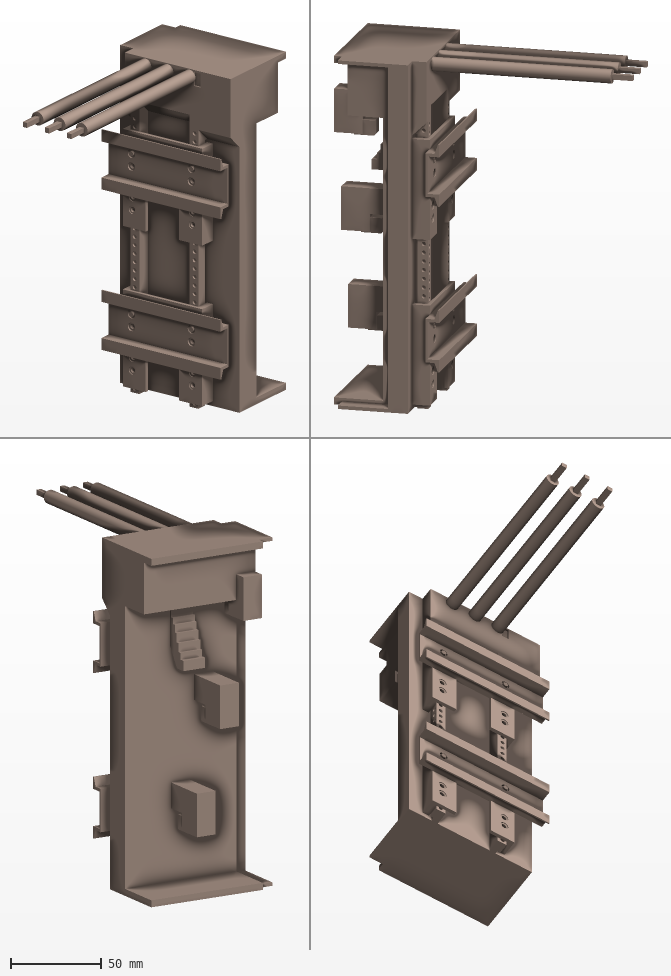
import cadquery as cq


WIDTH = 81.0
HEIGHT = 200.0
BACK_Y = 53.0

SIDE_WIDTH = 9.0
PLATE_FRONT_Y = 8.2
PLATE_BACK_Y = 24.8
FLANGE_THICKNESS = 4.0
TOP_BLOCK_BACK_Y = 45.1
TOP_BLOCK_BOTTOM_Z = 166.3

COLUMNS_CENTER_X = 36.0
COLUMN_INNER_OFFSET = 17.1
COLUMN_OUTER_OFFSET = 23.0
OUTER_POCKET_TOP_Z = 165.1
CENTER_POCKET_TOP_Z = 172.9
POCKET_SLOPE_DROP = 7.8
UNDERCUT_DEPTH = 2.0
UNDERCUT_WIDTH = 2.0

HOLE_PITCH = 5.0
HOLE_OFFSET_X = 20.4
FRONT_HOLE_DIAMETER = 2.5
FRONT_HOLE_COUNT = 33
FRONT_HOLE_FIRST_Z = 2.5
SIDE_HOLE_DIAMETER = 2.4
SIDE_HOLE_COUNT = 32
SIDE_HOLE_FIRST_Z = 4.5
SIDE_HOLE_Y = 2.5
FRONT_HOLE_DEPTH = 1.2
SIDE_HOLE_DEPTH = 2.5

RECESS_LEFT_X = 56.0
RECESS_WIDTH = 4.4
RECESS_BOTTOM_Z = 190.6
RECESS_HEIGHT = 8.1
RECESS_DEPTH = 1.0

HOOK_COUNT = 3
HOOK_PITCH_Z = 60.0
HOOK_PITCH_X = 15.0
HOOK_FIRST_X = 9.5
HOOK_WIDTH = 12.0
HOOK_TOP_Z = 181.1
HOOK_THROAT_Z = 166.3
HOOK_TIP_Z = 156.1
HOOK_TIP_FRONT_Y = 37.0
CLAW_INSET = 1.5
CLAW_FRONT_Y = 30.0
CLAW_BACK_Y = 42.0
CLAW_TOP_Z = 163.9
CLAW_BOTTOM_Z = 155.2
CLAW_CHAMFER = 0.5

LATCH_LEFT_X = 38.0
LATCH_WIDTH = 14.0
LATCH_TOP_Z = 162.8
LATCH_BOTTOM_Z = 128.3
LATCH_HEEL_Z = 139.6
LATCH_TOE_Y = 32.3
LATCH_STEPS = [
    (25.9, 156.2),
    (28.1, 152.8),
    (30.0, 148.4),
    (32.0, 143.2),
    (34.0, 138.1),
    (36.0, 134.2),
    (39.2, LATCH_BOTTOM_Z),
]

SIDE_WEB_BACK_Y = 19.5
SIDE_FLANGE_BACK_Y = 48.3
SIDE_FLANGE_THICKNESS = 2.0

LEVEL_COUNT = 2
LEVEL_PITCH = 95.0
RAIL_CENTER_Z = 42.75
RAIL_HEIGHT = 35.4
RAIL_INNER_HEIGHT = 21.4
RAIL_THICKNESS = 1.0
FLANGE_WALL = 1.8
RAIL_FRONT_Y = -9.8
LIP_EDGE_Y = -9.0
LIP_ROOT_Y = -7.1
CARRIER_FRONT_Y = -2.0
CARRIER_HEIGHT = 57.4
CARRIER_INNER_OFFSET = 11.4
CARRIER_OUTER_OFFSET = 27.0
BRIDGE_HEIGHT = RAIL_HEIGHT - (RAIL_HEIGHT - RAIL_INNER_HEIGHT) / 2
SCREW_SPACING = 7.5
SCREW_PIN_Z = 4.7
RAIL_HOLE_Z = SCREW_PIN_Z - SCREW_SPACING
LEG_HOLE_Z = -21.3
LEG_HOLES_Z = (LEG_HOLE_Z, LEG_HOLE_Z - SCREW_SPACING)
BORE_DIAMETER = 5.0
SCREW_DIAMETER = 3.0
BORE_DEPTH = 0.5
PIN_FRONT_Y = -3.4

CABLE_FIRST_X = 23.0
CABLE_PITCH = 15.0
CABLE_COUNT = 3
CABLE_Z = 195.5
CABLE_DIAMETER = 8.0
CABLE_LENGTH = 103.0
CONDUCTOR_SIZE = 3.0
CONDUCTOR_LENGTH = 12.0


def box(x0, x1, y0, y1, z0, z1):
    return cq.Workplane("XY").box(x1 - x0, y1 - y0, z1 - z0, centered=False).translate((x0, y0, z0))


def side_profile(points, x0, x1):
    """Prism with a (Y, Z) outline from x0 to x1."""
    return cq.Workplane("YZ").polyline(points).close().extrude(x1 - x0).translate((x0, 0, 0))


def y_cylinders(points, diameter, y0, y1):
    """Cylinders along Y from y0 to y1 at the given (X, Z) points."""
    circles = cq.Workplane("XZ", origin=(0, y0, 0)).pushPoints(points).circle(diameter / 2)
    return circles.extrude(y0 - y1)


HOLE_XS = (COLUMNS_CENTER_X - HOLE_OFFSET_X, COLUMNS_CENTER_X + HOLE_OFFSET_X)
COLUMN_LEFT_X = COLUMNS_CENTER_X - COLUMN_OUTER_OFFSET
COLUMN_RIGHT_X = COLUMNS_CENTER_X + COLUMN_OUTER_OFFSET


def housing_body():
    outline = [
        (0, 0),
        (BACK_Y, 0),
        (BACK_Y, FLANGE_THICKNESS),
        (PLATE_BACK_Y, FLANGE_THICKNESS),
        (PLATE_BACK_Y, TOP_BLOCK_BOTTOM_Z),
        (TOP_BLOCK_BACK_Y, TOP_BLOCK_BOTTOM_Z),
        (TOP_BLOCK_BACK_Y, HEIGHT - FLANGE_THICKNESS),
        (BACK_Y, HEIGHT - FLANGE_THICKNESS),
        (BACK_Y, HEIGHT),
        (0, HEIGHT),
    ]
    return side_profile(outline, SIDE_WIDTH, WIDTH)


def front_pocket(x0, x1, top_z):
    """Pocket down to the plate, closed at the top by a slope."""
    floor_top_z = top_z - POCKET_SLOPE_DROP
    return side_profile([(0, 0), (PLATE_FRONT_Y, 0), (PLATE_FRONT_Y, floor_top_z), (0, top_z)], x0, x1)


def column_undercut(x0):
    top_z = OUTER_POCKET_TOP_Z - POCKET_SLOPE_DROP
    return box(x0, x0 + UNDERCUT_WIDTH, PLATE_FRONT_Y - UNDERCUT_DEPTH, PLATE_FRONT_Y, 0, top_z)


def column_holes():
    front_points = [
        (x, FRONT_HOLE_FIRST_Z + i * HOLE_PITCH) for x in HOLE_XS for i in range(FRONT_HOLE_COUNT)
    ]
    side_points = [(SIDE_HOLE_Y, SIDE_HOLE_FIRST_Z + i * HOLE_PITCH) for i in range(SIDE_HOLE_COUNT)]
    side_holes = (
        cq.Workplane("YZ", origin=(COLUMN_LEFT_X, 0, 0))
        .pushPoints(side_points)
        .circle(SIDE_HOLE_DIAMETER / 2)
        .extrude(SIDE_HOLE_DEPTH)
    )
    return y_cylinders(front_points, FRONT_HOLE_DIAMETER, 0, FRONT_HOLE_DEPTH), side_holes


def busbar_hook(index):
    x0 = HOOK_FIRST_X + index * HOOK_PITCH_X
    x1 = x0 + HOOK_WIDTH
    hook = side_profile(
        [
            (PLATE_BACK_Y, HOOK_THROAT_Z),
            (PLATE_BACK_Y, HOOK_TOP_Z),
            (BACK_Y, HOOK_TOP_Z),
            (BACK_Y, HOOK_TIP_Z),
            (HOOK_TIP_FRONT_Y, HOOK_TIP_Z),
            (HOOK_TIP_FRONT_Y, HOOK_THROAT_Z),
        ],
        x0,
        x1,
    )
    claw = box(x0 + CLAW_INSET, x1 - CLAW_INSET, CLAW_FRONT_Y, CLAW_BACK_Y, CLAW_BOTTOM_Z, CLAW_TOP_Z)
    claw = claw.edges("<Y and <Z").chamfer(CLAW_CHAMFER)
    return hook.union(claw).translate((0, 0, -index * HOOK_PITCH_Z))


def latch():
    points = [(PLATE_BACK_Y, LATCH_HEEL_Z), (PLATE_BACK_Y, LATCH_TOP_Z)]
    z_above = LATCH_TOP_Z
    for step_y, step_z in LATCH_STEPS:
        points += [(step_y, z_above), (step_y, step_z)]
        z_above = step_z
    points.append((LATCH_TOE_Y, LATCH_BOTTOM_Z))
    return side_profile(points, LATCH_LEFT_X, LATCH_LEFT_X + LATCH_WIDTH)


def make_housing():
    housing = housing_body()
    housing = housing.cut(front_pocket(SIDE_WIDTH, COLUMN_LEFT_X, OUTER_POCKET_TOP_Z))
    housing = housing.cut(front_pocket(COLUMN_RIGHT_X, WIDTH, OUTER_POCKET_TOP_Z))
    housing = housing.cut(
        front_pocket(
            COLUMNS_CENTER_X - COLUMN_INNER_OFFSET,
            COLUMNS_CENTER_X + COLUMN_INNER_OFFSET,
            CENTER_POCKET_TOP_Z,
        )
    )
    housing = housing.cut(column_undercut(COLUMN_LEFT_X))
    housing = housing.cut(column_undercut(COLUMN_RIGHT_X - UNDERCUT_WIDTH))
    for holes in column_holes():
        housing = housing.cut(holes)
    housing = housing.cut(
        box(
            RECESS_LEFT_X,
            RECESS_LEFT_X + RECESS_WIDTH,
            0,
            RECESS_DEPTH,
            RECESS_BOTTOM_Z,
            RECESS_BOTTOM_Z + RECESS_HEIGHT,
        )
    )
    for index in range(HOOK_COUNT):
        housing = housing.union(busbar_hook(index))
    return housing.union(latch())


def make_side_strip():
    """C-shaped strip along the left side of the housing."""
    outline = [
        (PLATE_FRONT_Y, 0),
        (SIDE_FLANGE_BACK_Y, 0),
        (SIDE_FLANGE_BACK_Y, SIDE_FLANGE_THICKNESS),
        (SIDE_WEB_BACK_Y, SIDE_FLANGE_THICKNESS),
        (SIDE_WEB_BACK_Y, HEIGHT - SIDE_FLANGE_THICKNESS),
        (SIDE_FLANGE_BACK_Y, HEIGHT - SIDE_FLANGE_THICKNESS),
        (SIDE_FLANGE_BACK_Y, HEIGHT),
        (PLATE_FRONT_Y, HEIGHT),
    ]
    return side_profile(outline, 0, SIDE_WIDTH)


def make_carrier(rail_z):
    """Bridge with two legs that lie on the columns and grip their outer sides."""
    top_z = rail_z + RAIL_HEIGHT / 2
    bottom_z = top_z - CARRIER_HEIGHT
    left_x = COLUMNS_CENTER_X - CARRIER_OUTER_OFFSET
    right_x = COLUMNS_CENTER_X + CARRIER_OUTER_OFFSET
    carrier = box(left_x, right_x, CARRIER_FRONT_Y, 0, bottom_z, top_z)
    carrier = carrier.cut(
        box(
            COLUMNS_CENTER_X - CARRIER_INNER_OFFSET,
            COLUMNS_CENTER_X + CARRIER_INNER_OFFSET,
            CARRIER_FRONT_Y,
            0,
            bottom_z,
            top_z - BRIDGE_HEIGHT,
        )
    )
    for x0, x1 in ((left_x, COLUMN_LEFT_X), (COLUMN_RIGHT_X, right_x)):
        carrier = carrier.union(box(x0, x1, CARRIER_FRONT_Y, PLATE_FRONT_Y, bottom_z, top_z))
    leg_points = [(x, rail_z + z) for x in HOLE_XS for z in LEG_HOLES_Z]
    rail_points = [(x, rail_z + RAIL_HOLE_Z) for x in HOLE_XS]
    pin_points = [(x, rail_z + SCREW_PIN_Z) for x in HOLE_XS]
    bore_floor_y = CARRIER_FRONT_Y + BORE_DEPTH
    carrier = carrier.cut(y_cylinders(leg_points, BORE_DIAMETER, CARRIER_FRONT_Y, bore_floor_y))
    carrier = carrier.cut(y_cylinders(leg_points + rail_points, SCREW_DIAMETER, CARRIER_FRONT_Y, 0))
    return carrier.union(y_cylinders(pin_points, SCREW_DIAMETER, PIN_FRONT_Y, CARRIER_FRONT_Y))


def make_rail(rail_z):
    """Top-hat rail with tapered lips."""
    half = RAIL_HEIGHT / 2
    half_inner = RAIL_INNER_HEIGHT / 2
    half_outer = half_inner + FLANGE_WALL
    web_front_y = CARRIER_FRONT_Y - RAIL_THICKNESS
    upper = [
        (CARRIER_FRONT_Y, half_outer),
        (LIP_ROOT_Y, half_outer),
        (LIP_EDGE_Y, half),
        (RAIL_FRONT_Y, half),
        (RAIL_FRONT_Y, half_inner),
        (web_front_y, half_inner),
    ]
    lower = [(y, -z) for y, z in reversed(upper)]
    rail = side_profile(upper + lower, 0, WIDTH)
    holes = y_cylinders(
        [(x, z) for x in HOLE_XS for z in (SCREW_PIN_Z, RAIL_HOLE_Z)],
        BORE_DIAMETER,
        web_front_y,
        CARRIER_FRONT_Y,
    )
    return rail.cut(holes).translate((0, 0, rail_z))


def make_cable(index):
    """Round insulation with a square conductor end."""
    x = CABLE_FIRST_X + index * CABLE_PITCH
    insulation = y_cylinders([(x, CABLE_Z)], CABLE_DIAMETER, -CABLE_LENGTH, 0)
    end_face = insulation.faces("<Y").workplane(centerOption="CenterOfMass")
    return end_face.rect(CONDUCTOR_SIZE, CONDUCTOR_SIZE).extrude(CONDUCTOR_LENGTH)


rail_heights = [RAIL_CENTER_Z + i * LEVEL_PITCH for i in range(LEVEL_COUNT)]
housing = make_housing()
side_strip = make_side_strip()
carriers = [make_carrier(z) for z in rail_heights]
rails = [make_rail(z) for z in rail_heights]
cables = [make_cable(i) for i in range(CABLE_COUNT)]

bodies = [housing, side_strip, *carriers, *rails, *cables]
result = cq.Compound.makeCompound([body.solids().val() for body in bodies])